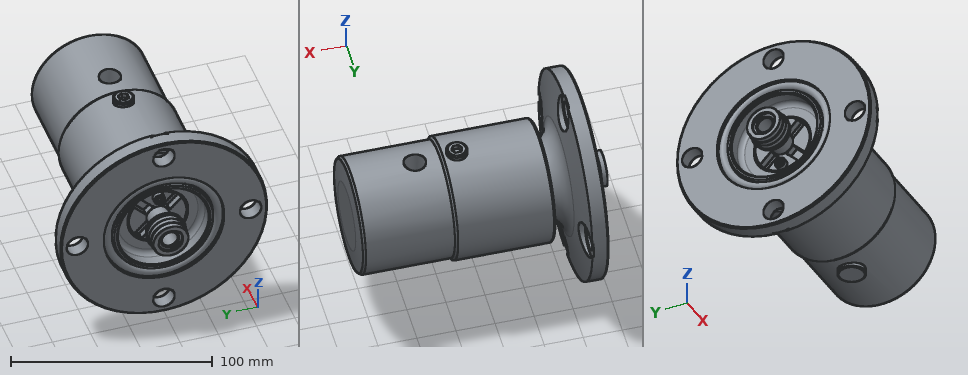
import cadquery as cq
import math


total_length = 131.2
flange_face_x = 10.9
rim_back_x = 19.3
flare_start_x = 22.7
barrel_start_x = 32.3
shoulder_x = 83.5
end_face_edge_x = 130.4
cavity_floor_x = 20.7

flange_dia = 108.0
flange_radius = flange_dia / 2
rim_chamfer = 0.7
bolt_circle_radius = 45.3
bolt_hole_dia = 11.1
bolt_count = 4
spotface_dia = 18.2
spotface_x = 18.6

flare_start_radius = 30.4
flare_middle_x = 26.4
flare_middle_radius = 22.7
neck_radius = 18.8

barrel_radius = 31.5
barrel_chamfer = 0.9
shoulder_chamfer_length = 1.3
rear_radius = 30.0
rear_chamfer_length = 1.3
rear_chamfer_depth = 1.0
end_face_radius = 17.7

bead_section_radius = 2.5
bead_ring_radius = 29.0
bead_outer_radius = bead_ring_radius + bead_section_radius
bead_inner_radius = bead_ring_radius - bead_section_radius
bead_centre_x = flange_face_x + bead_section_radius
lip_face_x = flange_face_x + 0.5
lip_radius = 25.8

cavity_radius = 23.7
cavity_mouth_chamfer = 0.7
cavity_floor_radius = 21.0
cavity_fillet = cavity_radius - cavity_floor_radius

nozzle_tip_dia = 18.2
nozzle_dia = 19.0
nozzle_step_x = 3.0
nozzle_end_x = 11.5
nozzle_end_chamfer = 0.9
seal_ring_x = 7.3
seal_ring_section_radius = 1.5
seal_ring_projection = 0.7
shaft_dia = 12.0
core_radius = 15.1
core_edge_chamfer = 0.8
core_face_x = cavity_floor_x
core_end_x = 105.0

counterbore_dia = 12.7
counterbore_depth = 1.3
bore_dia = 8.4
bore_mouth_dia = 9.5
bore_end_x = 39.4

slot_width = 5.5
slot_depth = 4.0
slot_inner = shaft_dia / 2
slot_count = 4
first_slot_angle = 45
screw_circle_radius = 12.6
screw_dia = 5.5
screw_top_dia = 4.9
screw_height = 3.1
screw_hole_dia = 3.0
screw_hole_depth = 1.3
screw_hole_tip = 0.9

drain_x = 74.9
drain_dia = 10.6
drain_chamfer = 0.8
drain_top = 33.8
drain_hex_dia = 5.5
drain_hex_depth = 2.6

port_x = 96.4
port_mouth_dia = 11.1
port_dia = 8.4
plug_dia = 14.2
plug_chamfer = 0.5
plug_bottom = 32.1


def turned(profile):
    """Revolve a closed (x, radius) profile about the X axis."""
    return profile.close().revolve(360, (0, 0, 0), (1, 0, 0))


def cylinder_along_x(start_x, end_x, diameter, y=0, z=0):
    circle = cq.Workplane("YZ", origin=(start_x, y, z)).circle(diameter / 2)
    return circle.extrude(end_x - start_x)


def housing_blank():
    """Flange, flare and barrel, with the bead, the lip and the cavity in the flange face."""
    fillet_shift = cavity_fillet * (1 - math.sqrt(0.5))
    profile = (
        cq.Workplane("XY")
        .moveTo(cavity_floor_x, 0)
        .lineTo(cavity_floor_x, cavity_floor_radius)
        .threePointArc(
            (cavity_floor_x - fillet_shift, cavity_radius - fillet_shift),
            (cavity_floor_x - cavity_fillet, cavity_radius),
        )
        .lineTo(lip_face_x + cavity_mouth_chamfer, cavity_radius)
        .lineTo(lip_face_x, cavity_radius + cavity_mouth_chamfer)
        .lineTo(lip_face_x, lip_radius)
        .lineTo(bead_centre_x, bead_inner_radius)
        .threePointArc(
            (flange_face_x, bead_ring_radius),
            (bead_centre_x, bead_outer_radius),
        )
        .lineTo(flange_face_x, bead_outer_radius)
        .lineTo(flange_face_x, flange_radius - rim_chamfer)
        .lineTo(flange_face_x + rim_chamfer, flange_radius)
        .lineTo(rim_back_x, flange_radius)
        .lineTo(flare_start_x, flare_start_radius)
        .threePointArc((flare_middle_x, flare_middle_radius), (barrel_start_x, neck_radius))
        .lineTo(barrel_start_x, barrel_radius - barrel_chamfer)
        .lineTo(barrel_start_x + barrel_chamfer, barrel_radius)
        .lineTo(shoulder_x - shoulder_chamfer_length, barrel_radius)
        .lineTo(shoulder_x, rear_radius)
        .lineTo(end_face_edge_x - rear_chamfer_length, rear_radius)
        .lineTo(end_face_edge_x, rear_radius - rear_chamfer_depth)
        .lineTo(total_length, end_face_radius)
        .lineTo(total_length, 0)
    )
    return turned(profile)


def bolt_holes():
    cutters = cq.Workplane("YZ")
    for index in range(bolt_count):
        angle = 2 * math.pi * index / bolt_count
        y = bolt_circle_radius * math.cos(angle)
        z = bolt_circle_radius * math.sin(angle)
        cutters = cutters.add(cylinder_along_x(0, barrel_start_x, bolt_hole_dia, y, z))
        cutters = cutters.add(cylinder_along_x(spotface_x, barrel_start_x, spotface_dia, y, z))
    return cutters.combine()


def rotor_seat():
    """Bore that holds the rotor core, chamfered where it opens in the cavity floor."""
    mouth_radius = core_radius + core_edge_chamfer
    profile = (
        cq.Workplane("XY")
        .moveTo(cavity_floor_x, 0)
        .lineTo(cavity_floor_x, mouth_radius)
        .lineTo(cavity_floor_x + core_edge_chamfer, core_radius)
        .lineTo(core_end_x, core_radius)
        .lineTo(core_end_x, 0)
    )
    return turned(profile)


def drain_plug():
    return (
        cq.Workplane("XY", origin=(drain_x, 0, rear_radius))
        .circle(drain_dia / 2)
        .extrude(drain_top - rear_radius)
        .faces(">Z")
        .chamfer(drain_chamfer)
    )


def drain_socket():
    socket = cq.Workplane("XY", origin=(drain_x, 0, drain_top - drain_hex_depth))
    return socket.polygon(6, drain_hex_dia).extrude(drain_hex_depth)


def port():
    """Hole tapering from the barrel surface down to the rounded side of the rotor core."""
    floor_z = math.sqrt(core_radius**2 - (port_dia / 2) ** 2)
    mouth = cq.Workplane("XY", origin=(port_x, 0, rear_radius)).circle(port_mouth_dia / 2)
    return mouth.workplane(offset=floor_z - rear_radius).circle(port_dia / 2).loft()


def bottom_plug():
    return (
        cq.Workplane("XY", origin=(port_x, 0, -plug_bottom))
        .circle(plug_dia / 2)
        .extrude(plug_bottom - core_radius)
        .faces("<Z")
        .chamfer(plug_chamfer)
    )


def make_housing():
    housing = housing_blank().cut(bolt_holes())
    housing = housing.union(drain_plug()).union(bottom_plug())
    return housing.cut(drain_socket()).cut(port()).cut(rotor_seat())


def rotor_blank():
    """Nozzle, shaft and core, with the nozzle bore and the seal ring."""
    seal_crest = nozzle_dia / 2 + seal_ring_projection
    bore_chamfer = (bore_mouth_dia - bore_dia) / 2
    profile = (
        cq.Workplane("XY")
        .moveTo(0, counterbore_dia / 2)
        .lineTo(0, nozzle_tip_dia / 2)
        .lineTo(nozzle_step_x, nozzle_tip_dia / 2)
        .lineTo(nozzle_step_x, nozzle_dia / 2)
        .lineTo(seal_ring_x - seal_ring_section_radius, nozzle_dia / 2)
        .threePointArc(
            (seal_ring_x, seal_crest),
            (seal_ring_x + seal_ring_section_radius, nozzle_dia / 2),
        )
        .lineTo(nozzle_end_x - nozzle_end_chamfer, nozzle_dia / 2)
        .lineTo(nozzle_end_x, nozzle_dia / 2 - nozzle_end_chamfer)
        .lineTo(nozzle_end_x, shaft_dia / 2)
        .lineTo(core_face_x, shaft_dia / 2)
        .lineTo(core_face_x, core_radius)
        .lineTo(core_end_x, core_radius)
        .lineTo(core_end_x, 0)
        .lineTo(bore_end_x, 0)
        .lineTo(bore_end_x, bore_dia / 2)
        .lineTo(counterbore_depth + bore_chamfer, bore_dia / 2)
        .lineTo(counterbore_depth, bore_mouth_dia / 2)
        .lineTo(counterbore_depth, counterbore_dia / 2)
    )
    return turned(profile)


def face_slot(angle):
    """Radial slot from the shaft out to the rim of the core."""
    slot = cq.Workplane("XY").box(slot_depth, core_radius, slot_width, centered=(False, False, True))
    slot = slot.translate((core_face_x, slot_inner, 0))
    return slot.rotate((0, 0, 0), (1, 0, 0), angle)


def screw_head(z):
    head_top_x = core_face_x - screw_height
    head = cylinder_along_x(head_top_x, core_face_x, screw_dia, z=z)
    head = head.faces("<X").chamfer((screw_dia - screw_top_dia) / 2)
    hole = cylinder_along_x(head_top_x, head_top_x + screw_hole_depth, screw_hole_dia, z=z)
    tip_base = cq.Vector(head_top_x + screw_hole_depth, 0, z)
    tip = cq.Solid.makeCone(screw_hole_dia / 2, 0, screw_hole_tip, tip_base, cq.Vector(1, 0, 0))
    return head.cut(hole).cut(cq.Workplane(tip))


def make_rotor():
    rotor = rotor_blank()
    for index in range(slot_count):
        rotor = rotor.cut(face_slot(first_slot_angle + 360 * index / slot_count))
    for z in (screw_circle_radius, -screw_circle_radius):
        rotor = rotor.union(screw_head(z))
    return rotor


housing = make_housing()
rotor = make_rotor()
result = cq.Compound.makeCompound([housing.val(), rotor.val()])